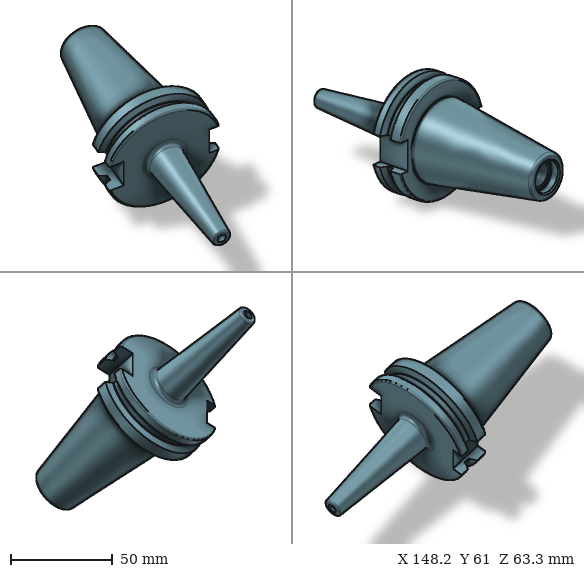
import cadquery as cq
import math

total_length = 148.2
taper_end = 67.9
flange_start = 69.2
flange_end = 87.3
neck_start = 89.8
groove_center = 79.2

gauge_diameter = 44.5
taper_ratio = 7 / 24
shank_edge_radius = 2.0
shank_root_radius = 0.5

flange_diameter = 63.3
flange_edge_radius = 0.9
groove_floor_diameter = 55.9
groove_floor_width = 3.3
groove_wall_height = 0.6
groove_flank_angle = 30.0

slot_width = 16.8
slot_floor_back = 24.9
slot_floor_front = 22.5

neck_diameter = 19.3
nose_diameter = 10.0
nose_edge_radius = 0.9

mouth_diameter = 18.4
counterbore_diameter = 16.8
counterbore_depth = 4.7
recess_diameter = 16.3
recess_depth = 5.8
pilot_diameter = 13.3
pilot_depth = 35.6
drill_point_angle = 118.0
clearance_diameter = 7.0
clearance_depth = 89.0
reducer_diameter = 6.0
reducer_depth = 103.8
through_diameter = 4.7


def revolve_about_x(outline):
    return outline.close().revolve(360, (0, 0, 0), (1, 0, 0))


def make_shank():
    small_radius = (gauge_diameter - taper_end * taper_ratio) / 2
    gauge_radius = gauge_diameter / 2
    shank = revolve_about_x(
        cq.Workplane("XY")
        .lineTo(0, small_radius)
        .lineTo(taper_end, gauge_radius)
        .lineTo(flange_start, gauge_radius)
        .lineTo(flange_start, 0)
    )
    return shank.faces("<X").edges().fillet(shank_edge_radius)


def make_flange():
    flange = (
        cq.Workplane("YZ", origin=(flange_start, 0, 0))
        .circle(flange_diameter / 2)
        .extrude(flange_end - flange_start)
        .edges()
        .fillet(flange_edge_radius)
    )
    return flange.cut(make_v_groove())


def make_v_groove():
    rim = flange_diameter / 2
    floor = groove_floor_diameter / 2
    wall_top = floor + groove_wall_height
    half_floor = groove_floor_width / 2
    half_mouth = half_floor + (rim - wall_top) * math.tan(math.radians(groove_flank_angle))
    beyond_rim = rim + 1.5
    return revolve_about_x(
        cq.Workplane("XY")
        .moveTo(groove_center - half_floor, floor)
        .lineTo(groove_center - half_floor, wall_top)
        .lineTo(groove_center - half_mouth, rim)
        .lineTo(groove_center - half_mouth, beyond_rim)
        .lineTo(groove_center + half_mouth, beyond_rim)
        .lineTo(groove_center + half_mouth, rim)
        .lineTo(groove_center + half_floor, wall_top)
        .lineTo(groove_center + half_floor, floor)
    )


def make_nose():
    neck_radius = neck_diameter / 2
    root_radius = neck_start - flange_end
    diagonal = root_radius * (1 - math.sqrt(0.5))
    nose = revolve_about_x(
        cq.Workplane("XY")
        .moveTo(flange_end, 0)
        .lineTo(flange_end, neck_radius + root_radius)
        .threePointArc((flange_end + diagonal, neck_radius + diagonal), (neck_start, neck_radius))
        .lineTo(total_length, nose_diameter / 2)
        .lineTo(total_length, 0)
    )
    return nose.faces(">X").edges().fillet(nose_edge_radius)


def make_drive_slot(side, floor):
    depth = flange_diameter / 2 - floor
    center = (
        (flange_start + flange_end) / 2,
        side * (floor + depth / 2),
        0,
    )
    return cq.Workplane("XY", origin=center).box(flange_end - flange_start, depth, slot_width)


def make_bore():
    mouth_chamfer = (mouth_diameter - counterbore_diameter) / 2
    point_length = (pilot_diameter - clearance_diameter) / 2 / math.tan(math.radians(drill_point_angle / 2))
    return revolve_about_x(
        cq.Workplane("XY")
        .lineTo(0, mouth_diameter / 2)
        .lineTo(mouth_chamfer, counterbore_diameter / 2)
        .lineTo(counterbore_depth, counterbore_diameter / 2)
        .lineTo(counterbore_depth, recess_diameter / 2)
        .lineTo(recess_depth, recess_diameter / 2)
        .lineTo(recess_depth, pilot_diameter / 2)
        .lineTo(pilot_depth, pilot_diameter / 2)
        .lineTo(pilot_depth + point_length, clearance_diameter / 2)
        .lineTo(clearance_depth, clearance_diameter / 2)
        .lineTo(clearance_depth, reducer_diameter / 2)
        .lineTo(reducer_depth, reducer_diameter / 2)
        .lineTo(reducer_depth, through_diameter / 2)
        .lineTo(total_length, through_diameter / 2)
        .lineTo(total_length, 0)
    )


def make_root_fillet():
    """Concave ring where the shank meets the flange face."""
    r = shank_root_radius
    gauge_radius = gauge_diameter / 2
    diagonal = r * (1 - math.sqrt(0.5))
    return revolve_about_x(
        cq.Workplane("XY")
        .moveTo(flange_start - r, gauge_radius)
        .threePointArc(
            (flange_start - diagonal, gauge_radius + diagonal),
            (flange_start, gauge_radius + r),
        )
        .lineTo(flange_start, gauge_radius)
    )


flange = make_flange()
flange = flange.cut(make_drive_slot(1, slot_floor_back))
flange = flange.cut(make_drive_slot(-1, slot_floor_front))

result = make_shank().union(flange).union(make_root_fillet()).union(make_nose()).cut(make_bore())